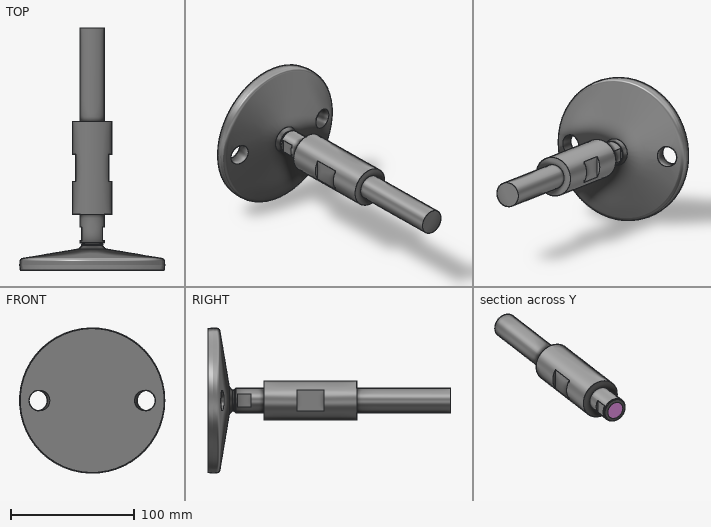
import cadquery as cq
import math


OVERALL_LENGTH = 197.0

BASE_RADIUS = 117.98 / 2
BASE_DRAFT = 7.0
RIM_BOTTOM = 4.2
RIM_TOP = 7.5
RIM_DRAFT = 4.0
SHOULDER_RADIUS = 2.9
SHOULDER_START = 12.0
CONE_SLOPE = 9.5

COLLAR_RADIUS = 11.0
GROOVE_RADIUS = 8.3
GROOVE_HEIGHT = 20.1
LIP_RADIUS = 8.8
LIP_HEIGHT = 21.0
NECK_RADIUS = 5.8

HOLE_DIAMETER = 16.5
HOLE_OFFSET = 42.8

SPINDLE_DIAMETER = 20.0
SPINDLE_BOTTOM = 22.0
SPINDLE_CHAMFER = 0.6
SPINDLE_FLATS_WIDTH = 17.0
SPINDLE_FLATS_LENGTH = 11.0
SPINDLE_FLATS_CENTRE = 29.6

SLEEVE_DIAMETER = 32.0
SLEEVE_LENGTH = 75.5
SLEEVE_BOTTOM = 45.4
SLEEVE_FLATS_WIDTH = 27.0
SLEEVE_FLATS_LENGTH = 22.0
SLEEVE_FLATS_CENTRE = SLEEVE_BOTTOM + SLEEVE_LENGTH / 2


def rod(diameter, bottom, length):
    """Cylinder on the Y axis, from height `bottom` upwards."""
    start = cq.Vector(0, bottom, 0)
    return cq.Workplane(cq.Solid.makeCylinder(diameter / 2, length, start, cq.Vector(0, 1, 0)))


def cut_flats(body, diameter, width, length, centre):
    """Cut two wrench flats on the +X and -X sides, leaving `width` between them."""
    for side in (-1, 1):
        cutter = cq.Workplane().box(diameter, length, 2 * diameter)
        body = body.cut(cutter.translate((side * (width + diameter) / 2, centre, 0)))
    return body


def make_base():
    slope = math.radians(CONE_SLOPE)
    start = math.radians(SHOULDER_START)
    end = math.pi / 2 - slope
    middle = (start + end) / 2
    rim_top_radius = BASE_RADIUS - (RIM_TOP - RIM_BOTTOM) * math.tan(math.radians(RIM_DRAFT))
    arc_centre_r = rim_top_radius - SHOULDER_RADIUS * math.cos(start)
    arc_centre_y = RIM_TOP - SHOULDER_RADIUS * math.sin(start)

    def shoulder_point(angle):
        return (
            arc_centre_r + SHOULDER_RADIUS * math.cos(angle),
            arc_centre_y + SHOULDER_RADIUS * math.sin(angle),
        )

    cone_edge_r, cone_edge_y = shoulder_point(end)
    cone_top = cone_edge_y + (cone_edge_r - COLLAR_RADIUS) * math.tan(slope)
    underside_radius = BASE_RADIUS - RIM_BOTTOM * math.tan(math.radians(BASE_DRAFT))

    base = (
        cq.Workplane("XY")
        .lineTo(underside_radius, 0)
        .lineTo(BASE_RADIUS, RIM_BOTTOM)
        .lineTo(rim_top_radius, RIM_TOP)
        .threePointArc(shoulder_point(middle), (cone_edge_r, cone_edge_y))
        .lineTo(COLLAR_RADIUS, cone_top)
        .lineTo(GROOVE_RADIUS, GROOVE_HEIGHT)
        .lineTo(LIP_RADIUS, LIP_HEIGHT)
        .lineTo(NECK_RADIUS, SPINDLE_BOTTOM)
        .lineTo(0, SPINDLE_BOTTOM)
        .close()
        .revolve(360, (0, 0, 0), (0, 1, 0))
    )

    reach = 2 * SPINDLE_BOTTOM
    for side in (-1, 1):
        direction = cq.Vector(side * math.sin(slope), math.cos(slope), 0)
        bottom = cq.Vector(side * HOLE_OFFSET, 0, 0) - direction * (reach / 2)
        base = base.cut(cq.Workplane(cq.Solid.makeCylinder(HOLE_DIAMETER / 2, reach, bottom, direction)))
    return base


def make_spindle():
    spindle = rod(SPINDLE_DIAMETER, SPINDLE_BOTTOM, OVERALL_LENGTH - SPINDLE_BOTTOM)
    spindle = spindle.faces("<Y").chamfer(SPINDLE_CHAMFER)
    return cut_flats(
        spindle, SPINDLE_DIAMETER, SPINDLE_FLATS_WIDTH, SPINDLE_FLATS_LENGTH, SPINDLE_FLATS_CENTRE
    )


def make_sleeve():
    sleeve = rod(SLEEVE_DIAMETER, SLEEVE_BOTTOM, SLEEVE_LENGTH)
    sleeve = sleeve.cut(rod(SPINDLE_DIAMETER, SLEEVE_BOTTOM, SLEEVE_LENGTH))
    return cut_flats(
        sleeve, SLEEVE_DIAMETER, SLEEVE_FLATS_WIDTH, SLEEVE_FLATS_LENGTH, SLEEVE_FLATS_CENTRE
    )


base = make_base()
spindle = make_spindle()
sleeve = make_sleeve()

result = cq.Compound.makeCompound([base.val(), spindle.val(), sleeve.val()])